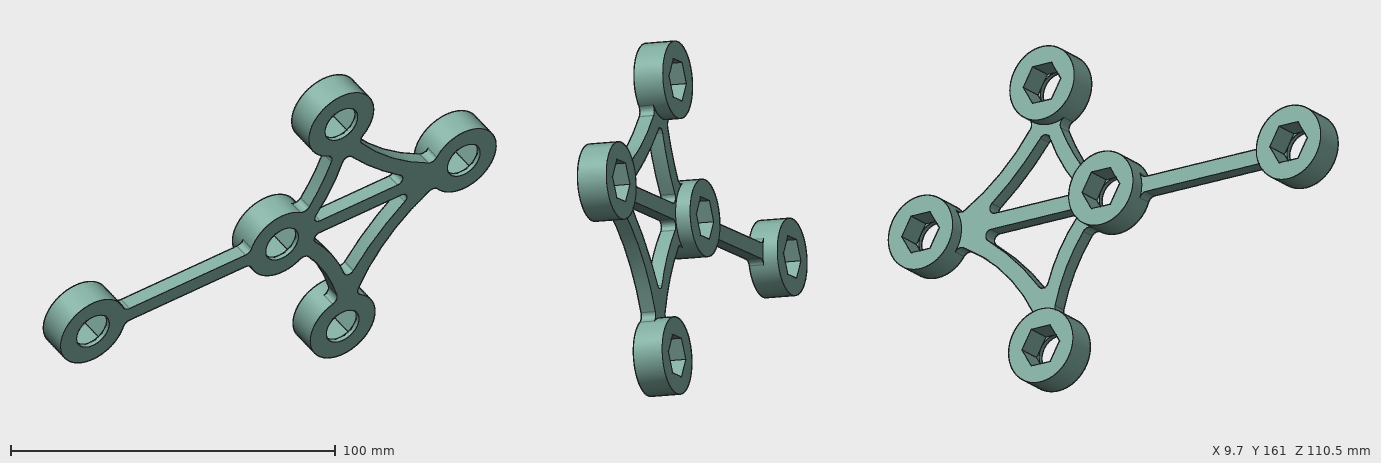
import cadquery as cq
import math

hub_diameter = 24.0
hub_thickness = 9.7
tail_reach = 69.9
nose_reach = 67.1
middle_hub = (0, 0)
tail_hub = (-tail_reach, 0)
nose_hub = (nose_reach, 0)
upper_hub = (21.9, 39.5)
lower_hub = (22.4, -47.0)
hubs = [middle_hub, tail_hub, nose_hub, upper_hub, lower_hub]

socket_flats = 12.0
socket_sides = 6
socket_corners = socket_flats / math.cos(math.pi / socket_sides)
socket_depth = 8.0
hole_diameter = 12.0

web_thickness = 4.8
arm_width = 5.0
root_fillet = 2.4
window_fillet = 2.0

web_upper_nose = (58, 3.9)
web_upper_outer = (26.2, 32.2)
web_upper_inner = (20.1, 30.6)
web_upper_middle = (7.5, 7.2)
web_lower_middle = (6.3, -6.5)
web_lower_inner = (21.4, -38.6)
web_lower_outer = (26.1, -38.6)
web_lower_nose = (58, -4.5)
upper_nose_edge_radius = 73.9
upper_middle_edge_radius = 75.7
lower_middle_edge_radius = 60.0
lower_nose_edge_radius = 63.8

upper_window_nose_y = 48.6
upper_window_tip = (23.5, 26.4)
upper_window_middle_y = 9.8
upper_window_nose_radius = 107.4
upper_window_middle_radius = 63.5
lower_window_nose_y = 50.2
lower_window_tip = (24.0, -28.7)
lower_window_middle_y = 9.3
lower_window_nose_radius = 93.0
lower_window_middle_radius = 54.1

web_plane = cq.Workplane("YZ", origin=(hub_thickness - web_thickness, 0, 0))


def make_discs(plane, thickness):
    return plane.pushPoints(hubs).circle(hub_diameter / 2).extrude(thickness)


def make_window(nose_y, tip, middle_y, arm_edge_z, nose_radius, middle_radius):
    """Three-sided opening with a straight side along the straight arm.

    Positive radii bow the curved sides inward above the straight arm, negative ones below it.
    """
    return (
        web_plane.moveTo(nose_y, arm_edge_z)
        .radiusArc(tip, nose_radius)
        .radiusArc((middle_y, arm_edge_z), middle_radius)
        .close()
        .extrude(web_thickness)
        .edges("|X")
        .fillet(window_fillet)
    )


seam_tolerance = 0.02


def is_arm_root(edge):
    """True unless the edge is the seam of a disc, at the disc's +Y extreme."""
    place = edge.Center()
    return not any(
        math.hypot(place.y - y - hub_diameter / 2, place.z - z) < seam_tolerance
        for y, z in hubs
    )


def make_web_blank():
    """Web without windows, with its arms blended into the hub outlines."""
    core = (
        web_plane.moveTo(*web_upper_nose)
        .radiusArc(web_upper_outer, upper_nose_edge_radius)
        .lineTo(*web_upper_inner)
        .radiusArc(web_upper_middle, upper_middle_edge_radius)
        .lineTo(*web_lower_middle)
        .radiusArc(web_lower_inner, lower_middle_edge_radius)
        .lineTo(*web_lower_outer)
        .radiusArc(web_lower_nose, lower_nose_edge_radius)
        .close()
        .extrude(web_thickness)
    )
    tail_arm = (
        web_plane.center(-tail_reach / 2, 0)
        .rect(tail_reach, arm_width)
        .extrude(web_thickness)
    )
    blank = core.union(tail_arm).union(make_discs(web_plane, web_thickness))
    return blank.edges("|X").filter(is_arm_root).fillet(root_fillet)


def make_hub_bores():
    socket_face = cq.Workplane("YZ").pushPoints(hubs)
    sockets = socket_face.polygon(socket_sides, socket_corners).extrude(socket_depth)
    holes = socket_face.circle(hole_diameter / 2).extrude(hub_thickness)
    return sockets.union(holes)


upper_window = make_window(
    upper_window_nose_y,
    upper_window_tip,
    upper_window_middle_y,
    arm_width / 2,
    upper_window_nose_radius,
    upper_window_middle_radius,
)
lower_window = make_window(
    lower_window_nose_y,
    lower_window_tip,
    lower_window_middle_y,
    -arm_width / 2,
    -lower_window_nose_radius,
    -lower_window_middle_radius,
)
web = make_web_blank().cut(upper_window).cut(lower_window)
result = web.union(make_discs(cq.Workplane("YZ"), hub_thickness)).cut(make_hub_bores())